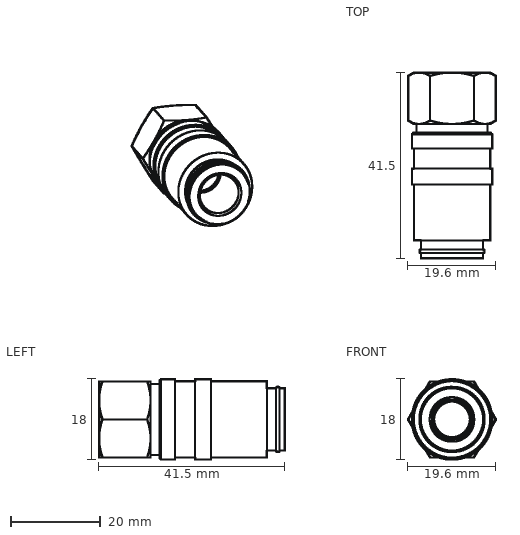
import cadquery as cq
import math

length = 41.5

hex_flats = 17.0
hex_length = 11.5
hex_chamfer_angle = 30.0

neck_radius = 7.95
collar_radius = 9.0
sleeve_radius = 8.55
spigot_radius = 6.97

spigot_length = 4.03
ring_start = 16.48
ring_width = 3.55
collar_start = 24.53
collar_width = 3.53
collar_chamfer = 0.4

bead_position = 1.58
bead_tube_radius = 0.4
bead_height = 0.35

mouth_chamfer = 0.5
socket_radius = 4.5
socket_depth = ring_start
through_radius = 4.0


def cylinder(radius, start, end):
    """Solid cylinder on the Y axis between two stations."""
    return (
        cq.Workplane("XZ", origin=(0, start, 0))
        .circle(radius)
        .extrude(start - end)
    )


def revolve_about_y(profile):
    return profile.close().revolve(360, (0, 0, 0), (0, 1, 0))


def make_nut():
    """Hexagon with corners on the X axis, both ends turned to a cone."""
    start = length - hex_length
    flat_radius = hex_flats / 2
    corner_radius = flat_radius / math.cos(math.pi / 6)
    slope = math.tan(math.radians(hex_chamfer_angle))
    drop = (corner_radius - flat_radius) * slope
    hexagon = (
        cq.Workplane("XZ", origin=(0, start, 0))
        .polygon(6, 2 * corner_radius)
        .extrude(-hex_length)
    )
    turned_envelope = revolve_about_y(
        cq.Workplane("XY")
        .moveTo(0, start)
        .lineTo(flat_radius, start)
        .lineTo(corner_radius, start + drop)
        .lineTo(corner_radius, length - drop)
        .lineTo(flat_radius, length)
        .lineTo(0, length)
    )
    return hexagon.intersect(turned_envelope)


def make_bead():
    """Round ring standing slightly proud of the spigot."""
    center_radius = spigot_radius + bead_height - bead_tube_radius
    return (
        cq.Workplane("XY")
        .center(center_radius, bead_position)
        .circle(bead_tube_radius)
        .revolve(360, (-center_radius, 0, 0), (-center_radius, 1, 0))
    )


def make_body():
    collar_end = collar_start + collar_width
    collar = cylinder(collar_radius, collar_start, collar_end).faces(">Y").chamfer(collar_chamfer)
    return (
        cylinder(spigot_radius, 0, spigot_length)
        .union(cylinder(sleeve_radius, spigot_length, collar_start))
        .union(cylinder(collar_radius, ring_start, ring_start + ring_width))
        .union(collar)
        .union(cylinder(neck_radius, collar_end, length - hex_length))
    )


def make_bore():
    """Chamfered socket at the mouth, followed by a smaller through hole."""
    return revolve_about_y(
        cq.Workplane("XY")
        .lineTo(socket_radius + mouth_chamfer, 0)
        .lineTo(socket_radius, mouth_chamfer)
        .lineTo(socket_radius, socket_depth)
        .lineTo(through_radius, socket_depth)
        .lineTo(through_radius, length)
        .lineTo(0, length)
    )


result = make_body().union(make_bead()).union(make_nut()).cut(make_bore())